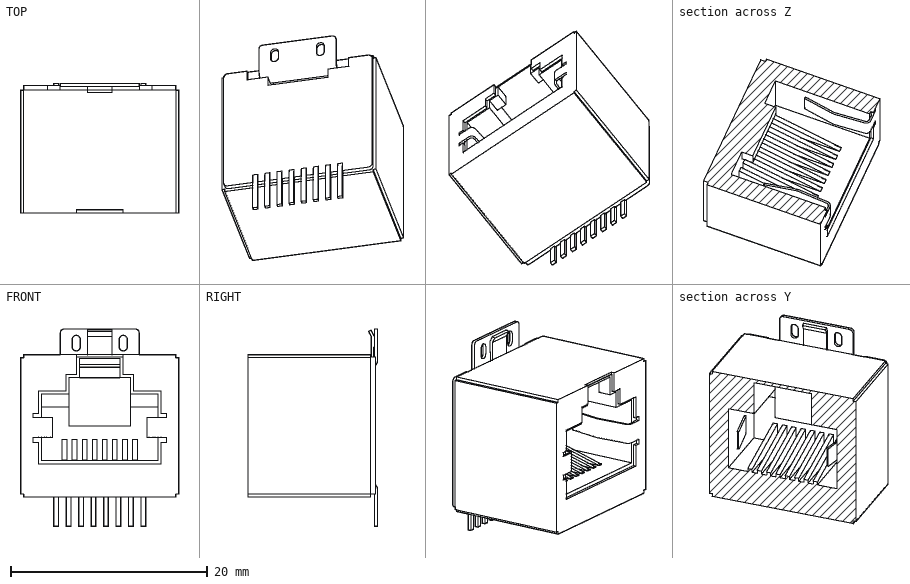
import cadquery as cq
import math


shell_width = 16.1
shell_depth = 12.5
shell_height = 14.5
sheet = 0.3
inset = 0.3

insert_back = 13.0
insert_width = shell_width - 2 * sheet
insert_top = shell_height - 0.22
insert_corner = 0.42
notch_half_width = 5.3

latch_half_width = 2.35
step_half_width = 3.44
plug_half_width = 6.25
latch_step_z = 12.46
plug_top_z = 10.8
plug_bottom_z = 3.34
lip_gap = 0.06

socket_floor_z = 3.72
socket_ceiling_z = 14.07
socket_back = 10.65
overhang_y = 10.05
overhang_z = 9.19
block_y = 9.45
block_bottom_z = 7.24
latch_wall_y = 1.65

spring_bottom_z = 6.07
spring_top_z = 8.1
spring_sheet = 0.2
slit_half_width = 6.77
upper_slit_height = 0.42
lower_slit_height = 0.5
spring_bend_x = 5.53
spring_bend_radius = 0.5
spring_knee = (4.8, 3.82)
spring_tip = (5.4, 7.24)
spring_knee_radius = 1.6

contact_count = 8
contact_pitch = 1.03
contact_width = 0.48
contact_front = 2.55
contact_foot_length = 0.2
contact_foot_height = 0.06
contact_back_height = 2.15

back = 13.2
terminal_thickness = 0.35
bend_radius = 0.7
pin_pitch = 1.27
pin_width = 0.5
pin_length = 3.0
pin_shoulder_z = 1.45
tab_width = 8.05
tab_height = 2.61
tab_corner = 0.4
tab_shoulder_z = 13.19
leg_front = 11.85
tab_slot_offset = 2.4
tab_slot_width = 0.8
tab_slot_length = 1.57
tab_slot_z = 15.65

ramp_run = 0.35
ramp_rise = 0.3

ground_width = 2.53
ground_front = 12.55
ground_bend_z = 16.35
ground_tip_y = 12.26
ground_tip_z = 16.98
ground_tip_drop = 0.12
ground_relief = 0.06
ground_relief_z = 15.22


def block(half_width, y0, y1, z0, z1):
    """Box centred on X = 0 between two depths and two levels."""
    size = (2 * half_width, y1 - y0, z1 - z0)
    return cq.Workplane("XY").box(*size, centered=(True, False, False)).translate((0, y0, z0))


def side_profile(points, width, x=0.0):
    """Closed (Y, Z) outline extruded to a width centred on x."""
    return cq.Workplane("YZ").polyline(points).close().extrude(width / 2, both=True).translate((x, 0, 0))


def make_body():
    """Shell with notched long corners, filled by the insert, which stands out at the back."""
    body = block(shell_width / 2, 0, shell_depth, sheet, shell_height - sheet)
    body = body.union(block(insert_width / 2, 0, shell_depth, 0, shell_height))
    insert = block(insert_width / 2, sheet, insert_back, sheet, insert_top)
    insert = insert.edges("|Y").fillet(insert_corner)
    notch = block(notch_half_width, shell_depth, insert_back, tab_shoulder_z, shell_height)
    return body.union(insert.cut(notch))


def make_front_opening():
    """Stepped opening and spring slits through the shell front plate."""
    opening = block(latch_half_width, 0, sheet, latch_step_z, shell_height)
    opening = opening.union(block(latch_half_width, 0, sheet + lip_gap, insert_top, shell_height))
    opening = opening.union(block(step_half_width, 0, sheet, plug_top_z, latch_step_z))
    opening = opening.union(block(plug_half_width, 0, sheet, plug_bottom_z, plug_top_z))
    upper_slit = block(slit_half_width, 0, sheet, spring_top_z, spring_top_z + upper_slit_height)
    lower_slit = block(slit_half_width, 0, sheet, spring_bottom_z - lower_slit_height, spring_bottom_z)
    return opening.union(upper_slit).union(lower_slit)


def make_socket():
    """Plug cavity, the latch channel above it and the ramped slot out to the back."""
    step_inner = step_half_width - inset
    latch_inner = latch_half_width - inset
    plug_inner = plug_half_width - inset
    plug_ceiling = plug_top_z - inset
    socket = block(plug_inner, sheet, socket_back, socket_floor_z, overhang_z)
    socket = socket.union(block(plug_inner, sheet, overhang_y, overhang_z, plug_ceiling))
    socket = socket.cut(block(step_inner, block_y, socket_back, block_bottom_z, plug_ceiling))
    step_ceiling = latch_step_z - inset
    socket = socket.union(block(step_inner, sheet, block_y, plug_ceiling, step_ceiling))
    socket = socket.union(block(latch_inner, sheet, latch_wall_y, step_ceiling, socket_ceiling_z))
    channel = side_profile(
        [
            (latch_wall_y, step_ceiling),
            (latch_wall_y, socket_ceiling_z),
            (leg_front - ramp_run, socket_ceiling_z),
            (leg_front, tab_shoulder_z + ramp_rise),
            (leg_front, tab_shoulder_z),
            (insert_back, tab_shoulder_z),
            (insert_back, step_ceiling),
        ],
        2 * step_inner,
    )
    return socket.union(channel)


def make_side_spring():
    """Spring strip on the +X side, curled back from the front plate into a shallow V."""
    radius = spring_bend_radius
    inner_radius = radius - spring_sheet
    diagonal = math.sqrt(0.5)
    curl_x = spring_bend_x - radius
    knee_x, knee_y = spring_knee
    tip_x, tip_y = spring_tip
    outer_mid = (spring_bend_x - radius * diagonal, radius - radius * diagonal)
    inner_mid = (spring_bend_x - inner_radius * diagonal, radius - inner_radius * diagonal)
    strip = (
        cq.Workplane("XY", origin=(0, 0, spring_bottom_z))
        .moveTo(slit_half_width, 0)
        .lineTo(spring_bend_x, 0)
        .threePointArc(outer_mid, (curl_x, radius))
        .lineTo(knee_x, knee_y)
        .lineTo(tip_x, tip_y)
        .lineTo(tip_x + spring_sheet, tip_y)
        .lineTo(knee_x + spring_sheet, knee_y)
        .lineTo(curl_x + spring_sheet, radius)
        .threePointArc(inner_mid, (spring_bend_x, spring_sheet))
        .lineTo(slit_half_width, spring_sheet)
        .close()
        .extrude(spring_top_z - spring_bottom_z)
    )
    knee_box = cq.selectors.BoxSelector(
        (knee_x - spring_sheet, knee_y - spring_sheet, spring_bottom_z),
        (knee_x + 2 * spring_sheet, knee_y + spring_sheet, spring_top_z),
    )
    return strip.edges("|Z").edges(knee_box).fillet(spring_knee_radius)


def make_contact(x):
    """Contact blade that rises from the socket floor towards the back wall behind a short flat foot."""
    foot_top_z = socket_floor_z + contact_foot_height
    outline = [
        (contact_front, socket_floor_z),
        (contact_front, foot_top_z),
        (contact_front + contact_foot_length, foot_top_z),
        (socket_back, socket_floor_z + contact_back_height),
        (socket_back, socket_floor_z),
    ]
    return side_profile(outline, contact_width, x)


def make_terminal(width, end_z, shoulder_z, x=0.0):
    """L-shaped strip: vertical leg at the back ending at end_z, bent forward at shoulder_z."""
    inward = math.copysign(terminal_thickness, end_z - shoulder_z)
    leg_z = shoulder_z + inward
    inside_y = back - terminal_thickness
    strip = side_profile(
        [
            (leg_front, shoulder_z),
            (back, shoulder_z),
            (back, end_z),
            (inside_y, end_z),
            (inside_y, leg_z),
            (leg_front, leg_z),
        ],
        width,
        x,
    )
    outer_corner = cq.selectors.NearestToPointSelector((x, back, shoulder_z))
    inner_corner = cq.selectors.NearestToPointSelector((x, inside_y, leg_z))
    strip = strip.edges("|X").edges(outer_corner).fillet(bend_radius)
    return strip.edges("|X").edges(inner_corner).fillet(bend_radius - terminal_thickness)


def make_tab():
    """Mounting tab with rounded top corners and two upright slots."""
    tab = make_terminal(tab_width, shell_height + tab_height, tab_shoulder_z)
    tab = tab.edges("|Y and >Z").fillet(tab_corner)
    slots = (
        cq.Workplane("XZ", origin=(0, back, tab_slot_z))
        .pushPoints([(-tab_slot_offset, 0), (tab_slot_offset, 0)])
        .slot2D(tab_slot_length, tab_slot_width, 90)
        .extrude(terminal_thickness)
    )
    return tab.cut(slots)


def make_ground_spring():
    """Flat strip against the tab whose upper end leans forward."""
    tab_face = back - terminal_thickness
    foot_z = tab_shoulder_z + terminal_thickness / 2
    outline = [
        (ground_front, foot_z),
        (ground_front, ground_bend_z),
        (ground_tip_y, ground_tip_z - ground_tip_drop),
        (ground_front, ground_tip_z),
        (tab_face, ground_bend_z),
        (tab_face, ground_relief_z),
        (tab_face - ground_relief, ground_relief_z),
        (tab_face - ground_relief, foot_z),
    ]
    return side_profile(outline, ground_width)


def centred_positions(count, pitch):
    """X positions of an evenly spaced row centred on X = 0."""
    return [(i - (count - 1) / 2) * pitch for i in range(count)]


result = make_body().cut(make_front_opening()).cut(make_socket())

side_spring = make_side_spring()
result = result.union(side_spring).union(side_spring.mirror("YZ"))

for x in centred_positions(contact_count, contact_pitch):
    result = result.union(make_contact(x))

for x in centred_positions(contact_count, pin_pitch):
    result = result.union(make_terminal(pin_width, -pin_length, pin_shoulder_z, x))

result = result.union(make_tab()).union(make_ground_spring())